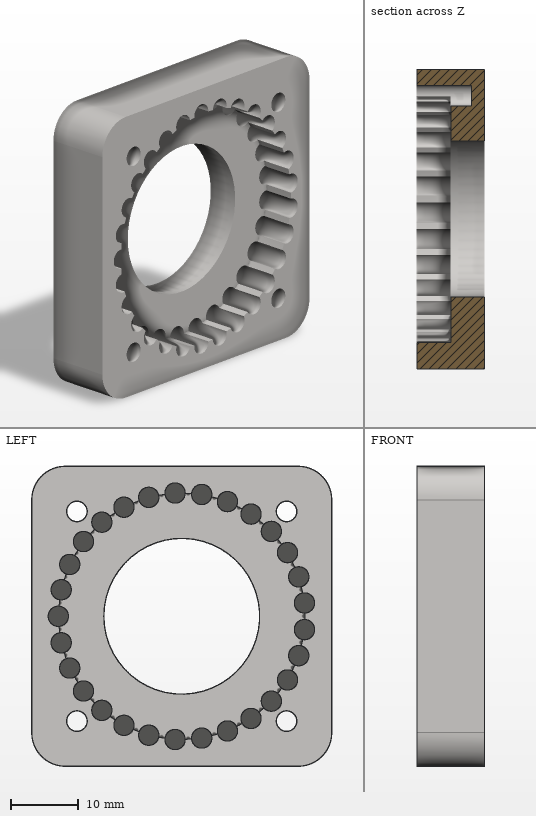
import cadquery as cq

plate_width = 44.4
plate_thickness = 10.0
corner_radius = 5.0

bore_diameter = 23.0
bolt_spacing = 31.0
bolt_hole_diameter = 3.0

pin_count = 29
pin_diameter = 3.0
pin_circle_radius = 18.25
pocket_radius = 18.2
pocket_depth = 5.0
pin_hole_depth = 8.0

front_x = -plate_thickness / 2
through_cut_depth = plate_thickness + 1.0


def front_face_plane():
    """Workplane on the -X face: local x is Y, local y is Z, extrusion goes into the plate."""
    return cq.Workplane("YZ", origin=(front_x, 0, 0))


def make_plate():
    plate = front_face_plane().rect(plate_width, plate_width).extrude(plate_thickness)
    return plate.edges("|X").fillet(corner_radius)


def make_bore():
    return front_face_plane().circle(bore_diameter / 2).extrude(through_cut_depth)


def make_bolt_holes():
    corners = front_face_plane().rect(bolt_spacing, bolt_spacing, forConstruction=True).vertices()
    return corners.circle(bolt_hole_diameter / 2).extrude(through_cut_depth)


def make_pocket():
    return front_face_plane().circle(pocket_radius).extrude(pocket_depth)


def make_pin_holes():
    """Ring of blind holes, the first one on the +Y axis."""
    ring = front_face_plane().polarArray(pin_circle_radius, 0, 360, pin_count)
    return ring.circle(pin_diameter / 2).extrude(pin_hole_depth)


result = (
    make_plate()
    .cut(make_bore())
    .cut(make_bolt_holes())
    .cut(make_pocket())
    .cut(make_pin_holes())
)